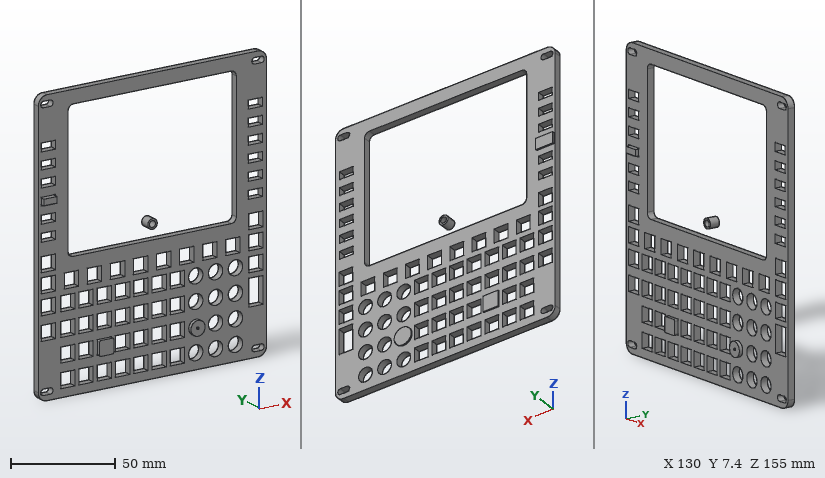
import cadquery as cq

PANEL_WIDTH = 130.0
PANEL_HEIGHT = 155.0
PANEL_THICKNESS = 4.0
PANEL_CORNER_RADIUS = 5.0
PANEL_FRONT_Y = -1.7
PANEL_BACK_Y = PANEL_FRONT_Y + PANEL_THICKNESS

WINDOW_WIDTH = 95.8
WINDOW_HEIGHT = 77.2
WINDOW_CENTER_X = -0.2
WINDOW_CENTER_Z = 31.5
WINDOW_CORNER_RADIUS = 3.0

SLOT_LENGTH = 7.0
SLOT_HEIGHT = 3.3
SLOT_CENTER_X = 60.1
SLOT_CENTER_Z = 72.8

KEY_SIZE = 8.0
SIDE_LEFT_X = -59.2
SIDE_RIGHT_X = 58.9

SELECT_HEIGHT = 4.5
SELECT_COUNT = 6
SELECT_PITCH = 9.1
SELECT_TOP_Z = 51.3
SELECT_LEFT_X = SIDE_LEFT_X
SELECT_RIGHT_X = 58.6

FUNCTION_COUNT = 10
FUNCTION_PITCH = (SIDE_RIGHT_X - SIDE_LEFT_X) / (FUNCTION_COUNT - 1)
FUNCTION_ROW_Z = -18.8
UPPER_SIDE_KEY_Z = -8.0

KEYPAD_ROW_COUNT = 4
KEYPAD_TOP_Z = -29.9
KEYPAD_BOTTOM_Z = -68.8
KEYPAD_ROW_PITCH = (KEYPAD_TOP_Z - KEYPAD_BOTTOM_Z) / (KEYPAD_ROW_COUNT - 1)
KEYPAD_ROWS = [KEYPAD_TOP_Z - row * KEYPAD_ROW_PITCH for row in range(KEYPAD_ROW_COUNT)]
LETTER_COUNT = 7
LETTER_FIRST_X = -48.2
LETTER_LAST_X = 14.3
LETTER_PITCH = (LETTER_LAST_X - LETTER_FIRST_X) / (LETTER_COUNT - 1)
LETTER_COLUMNS = [LETTER_FIRST_X + column * LETTER_PITCH for column in range(LETTER_COUNT)]
NUMBER_COUNT = 3
NUMBER_FIRST_X = 24.6
NUMBER_PITCH = 11.3
NUMBER_COLUMNS = [NUMBER_FIRST_X + column * NUMBER_PITCH for column in range(NUMBER_COUNT)]
TALL_KEY_HEIGHT = 14.5
TALL_KEY_Z = -44.0

KEY_PROJECTION = 2.0
KEY_FRONT_Y = PANEL_FRONT_Y - KEY_PROJECTION
FLANGE_THICKNESS = 0.8
NUMBER_FLANGE_DIAMETER = 10.0
LETTER_FLANGE_SIZE = 9.0
LETTER_CORNER_RADIUS = 0.8
DIMPLE_DIAMETER = 1.1
DIMPLE_DEPTH = 0.5
SELECT_KEY_WIDTH = 7.6
SELECT_KEY_HEIGHT = 3.4
SELECT_KEY_PROJECTION = 1.7
SELECT_FLANGE_WIDTH = 10.0
SELECT_FLANGE_HEIGHT = 6.5
SELECT_FLANGE_THICKNESS = 1.0
FITTED_SELECT = 3
FITTED_ROW = 2
FITTED_LETTER = 2
FITTED_NUMBER = 0

SPACER_DIAMETER = 5.5
SPACER_BORE = 3.4
SPACER_LENGTH = 5.5
SPACER_BACK_Y = 3.7
SPACER_Z = 1.0


def sketch_plane(front_y):
    """XZ workplane at the given Y; a negative extrusion runs toward +Y."""
    return cq.Workplane("XZ", origin=(0, front_y, 0))


def box(width, height, center, front_y, back_y):
    """Rectangular block between two Y positions, centred on an (x, z) point."""
    return sketch_plane(front_y).center(*center).rect(width, height).extrude(front_y - back_y)


def cylinder(diameter, center, front_y, back_y):
    """Round block between two Y positions, centred on an (x, z) point."""
    return sketch_plane(front_y).center(*center).circle(diameter / 2).extrude(front_y - back_y)


def select_height(place):
    """Z of a line-select opening, counted downward from zero."""
    return SELECT_TOP_Z - place * SELECT_PITCH


def square_key_centers():
    """Centres of every square opening."""
    side_columns = (SIDE_LEFT_X, SIDE_RIGHT_X)
    centers = [(x, UPPER_SIDE_KEY_Z) for x in side_columns]
    centers += [(SIDE_LEFT_X + i * FUNCTION_PITCH, FUNCTION_ROW_Z) for i in range(FUNCTION_COUNT)]
    centers += [(x, KEYPAD_ROWS[0]) for x in side_columns]
    centers += [(SIDE_LEFT_X, KEYPAD_ROWS[1])]
    centers += [(x, z) for x in LETTER_COLUMNS for z in KEYPAD_ROWS]
    return centers


def make_panel():
    def through(sketch):
        return sketch.extrude(-PANEL_THICKNESS)

    def at(centers):
        return sketch_plane(PANEL_FRONT_Y).pushPoints(centers)

    panel = box(PANEL_WIDTH, PANEL_HEIGHT, (0, 0), PANEL_FRONT_Y, PANEL_BACK_Y)
    panel = panel.edges("|Y").fillet(PANEL_CORNER_RADIUS)

    window_center = (WINDOW_CENTER_X, WINDOW_CENTER_Z)
    window = box(WINDOW_WIDTH, WINDOW_HEIGHT, window_center, PANEL_FRONT_Y, PANEL_BACK_Y)
    panel = panel.cut(window.edges("|Y").fillet(WINDOW_CORNER_RADIUS))

    slots = [(x, z) for x in (-SLOT_CENTER_X, SLOT_CENTER_X) for z in (-SLOT_CENTER_Z, SLOT_CENTER_Z)]
    panel = panel.cut(through(at(slots).slot2D(SLOT_LENGTH, SLOT_HEIGHT)))

    selects = [
        (x, select_height(place))
        for x in (SELECT_LEFT_X, SELECT_RIGHT_X)
        for place in range(SELECT_COUNT)
    ]
    panel = panel.cut(through(at(selects).rect(KEY_SIZE, SELECT_HEIGHT)))

    panel = panel.cut(through(at(square_key_centers()).rect(KEY_SIZE, KEY_SIZE)))
    panel = panel.cut(through(at([(SIDE_RIGHT_X, TALL_KEY_Z)]).rect(KEY_SIZE, TALL_KEY_HEIGHT)))

    numbers = [(x, z) for x in NUMBER_COLUMNS for z in KEYPAD_ROWS]
    return panel.cut(through(at(numbers).circle(KEY_SIZE / 2)))


def make_select_key():
    """Rectangular key, loose in its opening, with a flange behind the panel."""
    center = (SELECT_LEFT_X, select_height(FITTED_SELECT))
    front_y = PANEL_FRONT_Y - SELECT_KEY_PROJECTION
    flange_back_y = PANEL_BACK_Y + SELECT_FLANGE_THICKNESS
    key = box(SELECT_KEY_WIDTH, SELECT_KEY_HEIGHT, center, front_y, PANEL_BACK_Y)
    flange = box(SELECT_FLANGE_WIDTH, SELECT_FLANGE_HEIGHT, center, PANEL_BACK_Y, flange_back_y)
    return key.union(flange)


def make_letter_key():
    """Square key with rounded corners and a flange behind the panel."""
    center = (LETTER_COLUMNS[FITTED_LETTER], KEYPAD_ROWS[FITTED_ROW])
    flange_back_y = PANEL_BACK_Y + FLANGE_THICKNESS
    key = box(KEY_SIZE, KEY_SIZE, center, KEY_FRONT_Y, PANEL_BACK_Y)
    key = key.edges("|Y").fillet(LETTER_CORNER_RADIUS)
    flange = box(LETTER_FLANGE_SIZE, LETTER_FLANGE_SIZE, center, PANEL_BACK_Y, flange_back_y)
    return key.union(flange)


def make_number_key():
    """Round key with a dimple in its face and a flange behind the panel."""
    center = (NUMBER_COLUMNS[FITTED_NUMBER], KEYPAD_ROWS[FITTED_ROW])
    key = cylinder(KEY_SIZE, center, KEY_FRONT_Y, PANEL_BACK_Y)
    flange = cylinder(NUMBER_FLANGE_DIAMETER, center, PANEL_BACK_Y, PANEL_BACK_Y + FLANGE_THICKNESS)
    dimple = cylinder(DIMPLE_DIAMETER, center, KEY_FRONT_Y, KEY_FRONT_Y + DIMPLE_DEPTH)
    return key.union(flange).cut(dimple)


def make_spacer():
    center = (0, SPACER_Z)
    front_y = SPACER_BACK_Y - SPACER_LENGTH
    spacer = cylinder(SPACER_DIAMETER, center, front_y, SPACER_BACK_Y)
    return spacer.cut(cylinder(SPACER_BORE, center, front_y, SPACER_BACK_Y))


panel = make_panel()
select_key = make_select_key()
letter_key = make_letter_key()
number_key = make_number_key()
spacer = make_spacer()

result = cq.Compound.makeCompound(
    [panel.val(), select_key.val(), letter_key.val(), number_key.val(), spacer.val()]
)